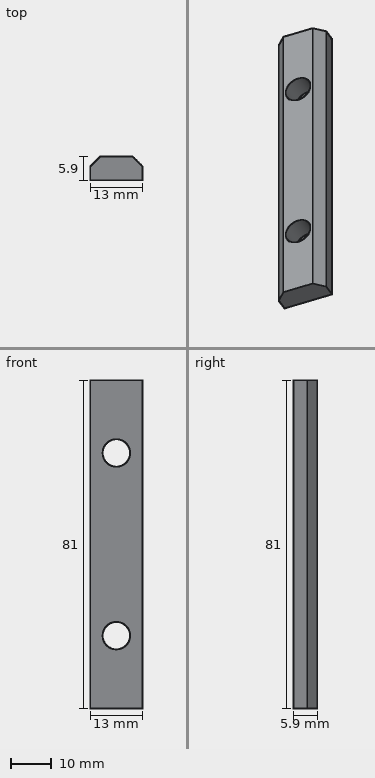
import cadquery as cq

width = 13.0
thickness = 5.9
length = 81.0

bevel = 2.5

hole_diameter = 6.7
hole_spacing = 45.0

bar = cq.Workplane("XY").box(width, thickness, length)
bar = bar.faces(">Y").edges("|Z").chamfer(bevel)

result = (
    bar.faces("<Y")
    .workplane(centerOption="CenterOfBoundBox")
    .rarray(0.8, hole_spacing, 1, 2)
    .hole(hole_diameter)
)